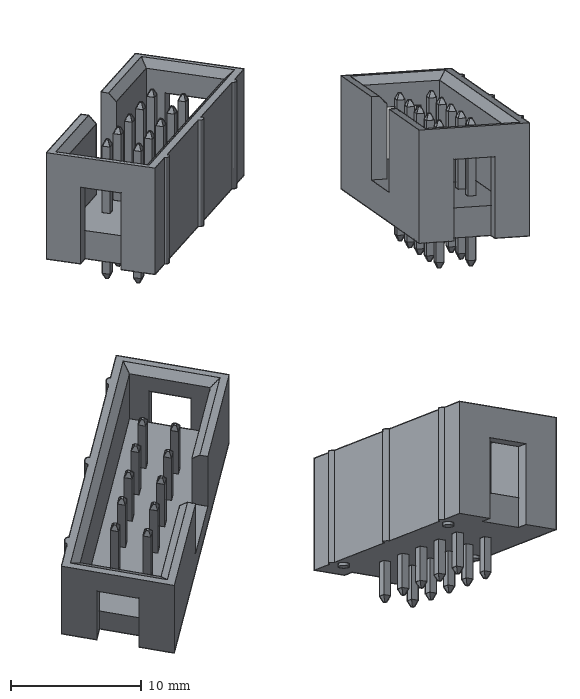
import cadquery as cq

body_x = 8.85
body_y = 20.35
body_z = 8.9
floor_z = 2.36

side_wall = 1.26
end_wall = 1.05
lead_in = 0.63
cavity_x = body_x - 2 * side_wall
cavity_y = body_y - 2 * end_wall

key_slot_y = 4.55
end_slot_x = 3.3
end_slot_z = 6.41

pin_rows = 2
pins_per_row = 5
pin_pitch = 2.55
pin_width = 0.63
pin_tip_width = 0.2
pin_taper = 0.49
pin_top = 8.4
pin_bottom = -3.2

standoff_diameter = 0.85
standoff_height = 0.25
standoff_x = 3.6
standoff_y = 7.3

rib_radius = 0.35
centre_rib_height = 0.33
outer_rib_height = 0.26
outer_rib_y = 7.7


def block(size_x, size_y, bottom, top, x=0.0, y=0.0):
    """Upright box centred on (x, y), between two heights."""
    base = cq.Workplane("XY", origin=(x, y, bottom))
    return base.rect(size_x, size_y).extrude(top - bottom)


def cylinder(radius, bottom, top, x, y):
    """Upright cylinder centred on (x, y), between two heights."""
    return cq.Workplane("XY", origin=(x, y, bottom)).circle(radius).extrude(top - bottom)


def make_cavity():
    """Open pocket above the floor, flaring outwards at the rim."""
    pocket = block(cavity_x, cavity_y, floor_z, body_z)
    flare = (
        cq.Workplane("XY", origin=(0, 0, body_z - lead_in))
        .rect(cavity_x, cavity_y)
        .workplane(offset=lead_in)
        .rect(cavity_x + 2 * lead_in, cavity_y + 2 * lead_in)
        .loft(ruled=True)
    )
    return pocket.union(flare)


def make_pin(x, y):
    """Square pin through the floor, with a blunt pyramid at each end."""
    pin = block(pin_width, pin_width, pin_bottom + pin_taper, pin_top - pin_taper, x, y)
    for face in (">Z", "<Z"):
        tip = (
            pin.faces(face)
            .workplane(centerOption="CenterOfBoundBox")
            .rect(pin_width, pin_width)
            .workplane(offset=pin_taper)
            .rect(pin_tip_width, pin_tip_width)
            .loft(ruled=True, combine=False)
        )
        pin = pin.union(tip)
    return pin


housing = block(body_x, body_y, 0, body_z).cut(make_cavity())

key_slot_centre = -(body_x - side_wall) / 2
housing = housing.cut(block(side_wall, key_slot_y, floor_z, body_z, x=key_slot_centre))

for end in (-1, 1):
    end_slot_centre = end * (body_y - end_wall) / 2
    housing = housing.cut(block(end_slot_x, end_wall, 0, end_slot_z, y=end_slot_centre))

for rib_y, rib_height in (
    (-outer_rib_y, outer_rib_height),
    (0, centre_rib_height),
    (outer_rib_y, outer_rib_height),
):
    rib_x = body_x / 2 + rib_height - rib_radius
    housing = housing.union(cylinder(rib_radius, 0, body_z, rib_x, rib_y))

for x, y in ((-standoff_x, 0), (standoff_x, -standoff_y), (standoff_x, standoff_y)):
    housing = housing.union(cylinder(standoff_diameter / 2, -standoff_height, 0, x, y))

for row in range(pin_rows):
    pin_x = (row - (pin_rows - 1) / 2) * pin_pitch
    for column in range(pins_per_row):
        pin_y = (column - (pins_per_row - 1) / 2) * pin_pitch
        housing = housing.union(make_pin(pin_x, pin_y))

result = housing